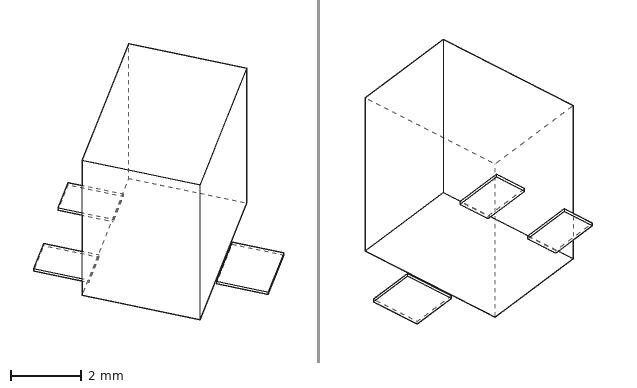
import cadquery as cq

overall_length = 6.68
overall_height = 5.65

housing_length = 3.5
housing_width = 4.8

lead_thickness = 0.1
pair_lead_reach = 1.62
pair_lead_overlap = 0.02
pair_lead_width = 1.04
pair_lead_pitch = 2.5
single_lead_width = 1.62
single_lead_gap = 0.02

housing_height = overall_height - lead_thickness
housing_end = housing_length / 2
pair_lead_start = -housing_end - pair_lead_reach
pair_lead_length = pair_lead_reach + pair_lead_overlap
single_lead_start = housing_end + single_lead_gap
single_lead_length = pair_lead_start + overall_length - single_lead_start


def make_housing():
    """Plain rectangular block standing at lead-top height."""
    return (
        cq.Workplane("XY")
        .workplane(offset=lead_thickness)
        .rect(housing_length, housing_width)
        .extrude(housing_height)
    )


def make_lead(start_x, centre_y, length, width):
    """Flat lead lying on Z = 0, running from start_x towards +X."""
    return (
        cq.Workplane("XY")
        .center(start_x + length / 2, centre_y)
        .rect(length, width)
        .extrude(lead_thickness)
    )


housing = make_housing()

pair_leads = []
for side in (-1, 1):
    centre_y = side * pair_lead_pitch / 2
    pair_leads.append(make_lead(pair_lead_start, centre_y, pair_lead_length, pair_lead_width))

single_lead = make_lead(single_lead_start, 0, single_lead_length, single_lead_width)

result = cq.Compound.makeCompound(
    [
        housing.val(),
        *[lead.val() for lead in pair_leads],
        single_lead.val(),
    ]
)